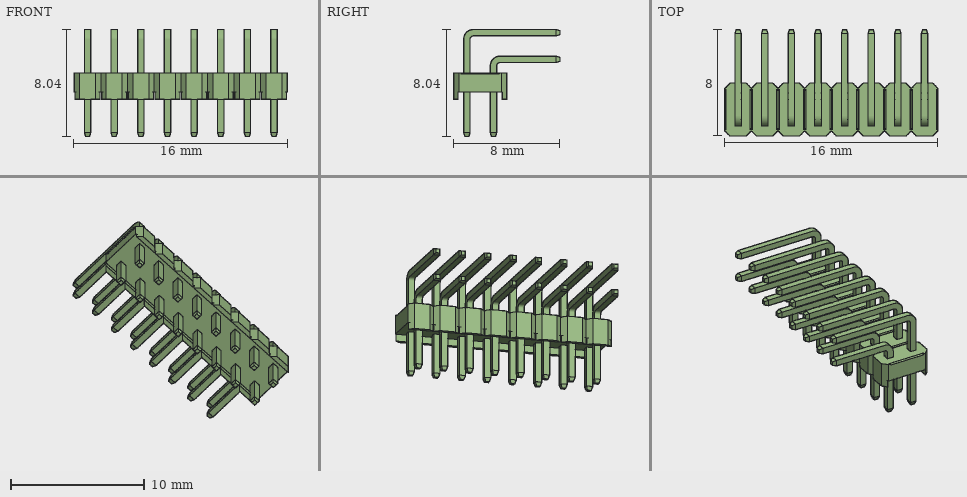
import cadquery as cq


columns = 8
pitch = 2.0

housing_length = columns * pitch
housing_depth = 2 * pitch
housing_height = 1.98
cell_chamfer = 0.4
leg_thickness = 0.35
channel_height = 0.53

groove_length = 3.0
groove_depth = 0.1
groove_half_width = 0.1
groove_end_taper = 0.1

pin_width = 0.5
pin_drop = 2.8
front_pin_rise = 3.26
back_pin_rise = front_pin_rise - pitch
pin_reach = 4.0
bend_outer_radius = 0.75
bend_inner_radius = bend_outer_radius - pin_width
tip_length = 0.29
tip_width = 0.3

pin_bottom = -pin_drop
pin_end = housing_depth / 2 + pin_reach
column_places = [(i - (columns - 1) / 2) * pitch for i in range(columns)]
border_places = [(i - columns / 2) * pitch for i in range(columns + 1)]


def make_cell(x):
    """Housing block around one column of pins, with chamfered vertical edges."""
    return (
        cq.Workplane("XY")
        .center(x, 0)
        .rect(pitch, housing_depth)
        .extrude(housing_height)
        .edges("|Z")
        .chamfer(cell_chamfer)
    )


def make_groove(x):
    """Cutter for a V-groove along Y whose ends slope inwards."""
    bottom = housing_height - groove_depth
    half_length = groove_length / 2
    half_bottom_length = half_length - groove_end_taper
    vee = (
        cq.Workplane("XZ")
        .polyline([
            (x - groove_half_width, housing_height),
            (x + groove_half_width, housing_height),
            (x, bottom),
        ])
        .close()
        .extrude(half_length, both=True)
    )
    sloped_ends = (
        cq.Workplane("YZ", origin=(x, 0, 0))
        .polyline([
            (-half_length, housing_height),
            (half_length, housing_height),
            (half_bottom_length, bottom),
            (-half_bottom_length, bottom),
        ])
        .close()
        .extrude(groove_half_width, both=True)
    )
    return vee.intersect(sloped_ends)


def make_housing():
    """Row of cells with a channel under it, which leaves legs along both long sides."""
    housing = make_cell(column_places[0])
    for x in column_places[1:]:
        housing = housing.union(make_cell(x))
    channel = cq.Workplane("XY").box(
        housing_length, housing_depth - 2 * leg_thickness, channel_height, centered=(True, True, False)
    )
    housing = housing.cut(channel)
    for x in border_places:
        housing = housing.cut(make_groove(x))
    return housing


def make_tip(plane):
    """Square taper from the full pin width down to the tip width."""
    return (
        cq.Workplane(plane)
        .rect(pin_width, pin_width)
        .workplane(offset=tip_length)
        .rect(tip_width, tip_width)
        .loft()
    )


def make_pin(x, y, rise):
    """Square pin at (x, y), bent towards +Y, its top a given rise above the housing."""
    half = pin_width / 2
    top = housing_height + rise
    shank_bottom = pin_bottom + tip_length
    arm_end = pin_end - tip_length
    shank = cq.Workplane("YZ", origin=(x, 0, 0)).moveTo(y - half, shank_bottom)
    shank = (
        shank.lineTo(y - half, top - bend_outer_radius)
        .radiusArc((y - half + bend_outer_radius, top), bend_outer_radius)
        .lineTo(arm_end, top)
        .lineTo(arm_end, top - pin_width)
        .lineTo(y + half + bend_inner_radius, top - pin_width)
        .radiusArc((y + half, top - pin_width - bend_inner_radius), -bend_inner_radius)
        .lineTo(y + half, shank_bottom)
        .close()
        .extrude(half, both=True)
    )
    lower_tip = make_tip(cq.Plane(origin=(x, y, shank_bottom), xDir=(1, 0, 0), normal=(0, 0, -1)))
    arm_tip = make_tip(cq.Plane(origin=(x, arm_end, top - half), xDir=(1, 0, 0), normal=(0, 1, 0)))
    return shank.union(lower_tip).union(arm_tip)


result = make_housing()
for column_x in column_places:
    result = result.union(make_pin(column_x, -pitch / 2, front_pin_rise))
    result = result.union(make_pin(column_x, pitch / 2, back_pin_rise))